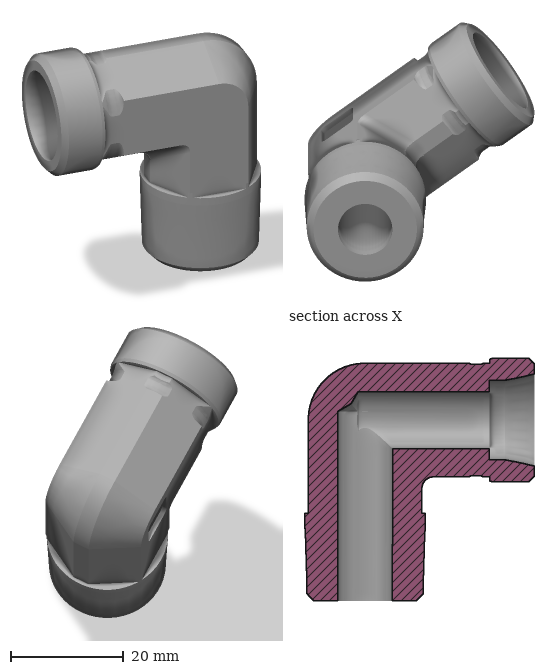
import cadquery as cq
import math

axis_height = 32.0
arm_reach = 30.0

half_width = 9.5
corner_angle = math.radians(30)
half_depth = 10.1
inner_fillet = 1.98
mitre_tolerance = 0.005

collar_radius = 10.75
collar_top = 15.52
collar_bottom = 14.05
taper_tip_radius = 10.35
tip_radius = 9.15
tip_chamfer = 1.3
relief_height = 1.05

ring_radius = 11.0
ring_length = 8.0
ring_back = arm_reach - ring_length
ring_front_chamfer = 1.05
ring_back_chamfer = 0.2
ring_back_chamfer_length = 0.6

groove_radius = 9.9
groove_start = 19.0
groove_end = 20.3
groove_corner = 1.0
groove_clearance = 0.45
groove_exit_angle = math.radians(32)

stem_bore_radius = 4.8
stem_bore_overrun = 1.5
arm_bore_radius = 10.0 / 2
arm_bore_overrun = 1.2
drill_half_angle = math.radians(60)
socket_radius = 14.0 / 2
socket_depth = 8.0
mouth_radius = 8.13
mouth_depth = 5.25

recess_size = 7.0
recess_corner = 1.0
recess_depth = 0.9
recess_y = -1.0
recess_z = 31.0

corner_depth = half_width * math.tan(corner_angle)
flat_half = half_width - (half_depth - corner_depth) / math.tan(corner_angle)
outer_half = [
    (-half_width, 0),
    (-half_width, corner_depth),
    (-flat_half, half_depth),
    (flat_half, half_depth),
    (half_width, corner_depth),
    (half_width, 0),
]
section = outer_half + [(x, -depth) for x, depth in reversed(outer_half[1:-1])]


def stem_turning(profile):
    """Revolve (radius, height) points around the stem axis."""
    return cq.Workplane("XZ").polyline(profile).close().revolve(360, (0, 0), (0, 1))


def turn_about_arm(sketch):
    """Revolve a (distance along arm, radius) outline around the arm axis."""
    turned = sketch.close().revolve(360, (0, 0), (1, 0))
    return turned.rotate((0, 0, 0), (0, 0, 1), -90).translate((0, 0, axis_height))


def arm_turning(profile):
    """Revolve (distance along arm, radius) points around the arm axis."""
    return turn_about_arm(cq.Workplane("XY").polyline(profile))


def make_elbow():
    """Stem and arm prisms, joined by a quarter turn outside and a filleted mitre inside."""
    stem = (
        cq.Workplane("XY")
        .workplane(offset=collar_top)
        .polyline(section)
        .close()
        .extrude(axis_height - collar_top)
    )
    arm = (
        cq.Workplane("XZ", origin=(0, 0, axis_height))
        .polyline(section)
        .close()
        .extrude(ring_back)
    )
    bend = (
        cq.Workplane("XY", origin=(0, 0, axis_height))
        .polyline(outer_half)
        .close()
        .revolve(90, (0, 0), (1, 0))
    )
    elbow = stem.union(arm).union(bend)
    mitre = elbow.edges().filter(
        lambda edge: edge.Center().y < 0
        and abs(edge.Center().z - axis_height - edge.Center().y) < mitre_tolerance
    )
    return mitre.fillet(inner_fillet)


def make_corner_relief():
    """Tube that trims the hexagon corners just above the collar."""
    return (
        cq.Workplane("XY")
        .workplane(offset=collar_top)
        .circle(2 * collar_radius)
        .circle(collar_radius)
        .extrude(relief_height)
    )


def make_groove():
    """Round-cornered groove whose far side rises as a cone up to the ring."""
    bend_run = groove_corner * math.sin(groove_exit_angle)
    bend_rise = groove_corner * (1 - math.cos(groove_exit_angle))
    half_bend_run = groove_corner * math.sin(groove_exit_angle / 2)
    half_bend_rise = groove_corner * (1 - math.cos(groove_exit_angle / 2))
    exit_rise = (ring_back - groove_end - bend_run) * math.tan(groove_exit_angle)
    rim_radius = ring_radius + groove_clearance
    diagonal = groove_corner * math.sqrt(0.5)
    return turn_about_arm(
        cq.Workplane("XY")
        .moveTo(groove_start - groove_corner, rim_radius)
        .lineTo(groove_start - groove_corner, groove_radius + groove_corner)
        .threePointArc(
            (groove_start - diagonal, groove_radius + groove_corner - diagonal),
            (groove_start, groove_radius),
        )
        .lineTo(groove_end, groove_radius)
        .threePointArc(
            (groove_end + half_bend_run, groove_radius + half_bend_rise),
            (groove_end + bend_run, groove_radius + bend_rise),
        )
        .lineTo(ring_back, groove_radius + bend_rise + exit_rise)
        .lineTo(ring_back, rim_radius)
    )


def make_stem_end():
    """Tapered thread body with a chamfered tip and a cylindrical collar."""
    return stem_turning([
        (0, 0),
        (tip_radius, 0),
        (taper_tip_radius, tip_chamfer),
        (collar_radius, collar_bottom),
        (collar_radius, collar_top),
        (0, collar_top),
    ])


def make_ring():
    return arm_turning([
        (ring_back, 0),
        (ring_back, ring_radius - ring_back_chamfer),
        (ring_back + ring_back_chamfer_length, ring_radius),
        (arm_reach - ring_front_chamfer, ring_radius),
        (arm_reach, ring_radius - ring_front_chamfer),
        (arm_reach, 0),
    ])


def make_stem_bore():
    shoulder = axis_height + stem_bore_overrun
    point = shoulder + stem_bore_radius / math.tan(drill_half_angle)
    return stem_turning([(0, 0), (stem_bore_radius, 0), (stem_bore_radius, shoulder), (0, point)])


def make_arm_bore():
    point = -arm_bore_overrun - arm_bore_radius / math.tan(drill_half_angle)
    return arm_turning([
        (point, 0),
        (-arm_bore_overrun, arm_bore_radius),
        (arm_reach - socket_depth, arm_bore_radius),
        (arm_reach - socket_depth, socket_radius),
        (arm_reach - mouth_depth, socket_radius),
        (arm_reach, mouth_radius),
        (arm_reach, 0),
    ])


def make_recess():
    return (
        cq.Workplane("XY")
        .box(2 * recess_depth, recess_size, recess_size)
        .edges("|X")
        .fillet(recess_corner)
        .translate((-half_width, recess_y, recess_z))
    )


body = make_elbow().cut(make_corner_relief()).cut(make_groove())
body = body.union(make_stem_end()).union(make_ring())
result = body.cut(make_stem_bore()).cut(make_arm_bore()).cut(make_recess())